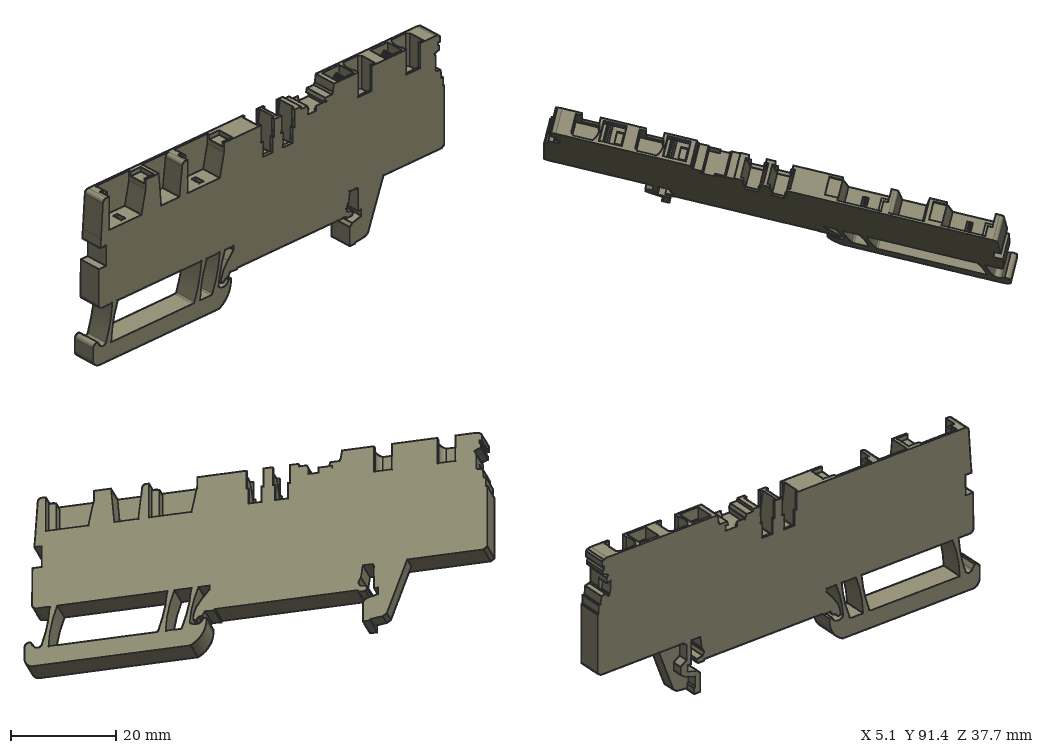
import cadquery as cq
import math

LENGTH = 91.4
HEIGHT = 37.7
THICKNESS = 5.1
HALF = THICKNESS / 2
SIDE_WALL = 0.5
INNER_LEFT = -HALF + SIDE_WALL
INNER_RIGHT = HALF - SIDE_WALL

BODY_BOTTOM = 12.3
RAIL_SEAT = 7.1
LOW_TOP = 36.0
MARKER_TOP = 34.65
MARKER_STEP = 35.5
FOOT_TOP = 3.8

SLOT_FLOOR = 28.9
SLOT_STEP = 32.2
SLOT_PITCH = 5.2
SLOT_SOCKET_FLOOR = 28.5
FIRST_SLOT = 50.7
SLOT_CENTRES = (FIRST_SLOT, FIRST_SLOT - SLOT_PITCH)
SLOT_WIDTH = 2.6
SLOT_UPPER_WIDTH = 3.4
SOCKET_MOUTH = 4.5
SOCKET_LEFT = INNER_LEFT
SOCKET_RIGHT = 1.8

POLES = 2
POLE_PITCH = 12.5
FUNNEL_START = 86.3
FUNNEL_LENGTH = 5.1
FUNNEL_DEPTH = 7.3
NOTCH_DEPTH = 5.5
FUNNEL_CORNER = 0.55
FUNNEL_TAPER = 0.8
WALL_NOTCH_INSET = 1.2
BUTTON_START = 80.8
BUTTON_LENGTH = 4.5
BUTTON_LEFT = -1.9
BUTTON_DEPTH = 2.6
STAIR_START = 0.7
STAIR_DEPTH = 1.5
STAIR_STEPS = 3
TREAD = 0.4
SPRING_WINDOW = (2.4, 1.4, 0.9)
SPRING_WINDOW_END = 0.3

BAY_PITCH = 20.4
BAY_DEPTH = 7.3
BAY_LENGTH = 9.5
BAY_START = 34.1
BAY_SLOPE = 1.1
BAY_SLOPE_TOP = 2.1
LIP_LENGTH = 1.5
LIP_RIGHT = 0.5
LEDGE_WIDTH = 0.55
LEDGE_DROP = 0.5
LABEL_LEFT = -1.6
LABEL_LENGTH = 2.6
LABEL_DEPTH = 1.0
DRIVER_SLOT = (2.2, 1.1, 0.9)
DRIVER_GROOVE = (0.4, 0.9)
DRIVER_SLOT_X = 0.3
DRIVER_SLOT_OFFSET = 4.8

GAP_START = 24.05
GAP_END = 17.1
RIDGE_ROUND = 0.8
RIDGE_SLOPE = 1.6
GAP_END_SLOPE = 0.6

MARKER_START = 60.8
MARKER_MIDDLE = 58.1
MARKER_END = 56.05
MARKER_FLOOR = 33.6
SNAP_WALL = 0.55

END_CORNER = (2.65, LOW_TOP)
BOTTOM_CORNER = (1.5, BODY_BOTTOM)
END_ROUND = 0.9
FOOT_END = 35.9
HOOK_LEG_ROOT = (31.0, FOOT_TOP)
MIDDLE_LEG_ROOT = (26.3, FOOT_TOP)
LEG_ROUND = 0.4
WEB_INSET = 2.2


def plate(outline, x_from=-HALF, x_to=HALF):
    """Solid from a side outline of (Y, Z) points between two X positions."""
    return cq.Workplane("YZ").workplane(offset=x_from).polyline(outline).close().extrude(x_to - x_from)


def round_edge(solid, corner, radius):
    """Fillet the edge that runs along X through a (Y, Z) corner."""
    return solid.edges(cq.selectors.NearestToPointSelector((0, *corner))).fillet(radius)


def block(x, y, z):
    """Box from (low, high) pairs along X, Y and Z."""
    size = [high - low for low, high in (x, y, z)]
    return cq.Workplane("XY").box(*size, centered=False).translate((x[0], y[0], z[0]))


def slot_outline(centre):
    """Stepped side outline of one bridge slot, from the nose side to the foot side."""
    lower = SLOT_WIDTH / 2
    upper = SLOT_UPPER_WIDTH / 2
    return [
        (centre + upper, LOW_TOP), (centre + upper, SLOT_STEP),
        (centre + lower, SLOT_STEP), (centre + lower, SLOT_FLOOR),
        (centre - lower, SLOT_FLOOR), (centre - lower, SLOT_STEP),
        (centre - upper, SLOT_STEP), (centre - upper, LOW_TOP),
    ]


def housing():
    nose = [
        (90.7, BODY_BOTTOM), (LENGTH, 12.9), (LENGTH, 25.9), (91.2, 26.0), (91.2, 27.8),
        (90.7, 27.8), (90.5, 29.6), (89.5, 29.8), (89.2, 30.1), (89.2, 33.2), (88.9, 33.7),
        (89.5, 34.1), (90.15, 34.3), (90.15, 34.9), (89.9, 35.5), (89.9, 35.9), (90.3, 35.9),
        (90.3, 37.1), (90.0, 37.5), (89.1, HEIGHT),
    ]
    marker_seat = [
        (62.7, HEIGHT), (62.45, 35.9), (62.2, MARKER_STEP), (60.4, MARKER_STEP), (60.2, MARKER_TOP),
        (56.1, MARKER_TOP), (55.8, MARKER_STEP), (54.2, MARKER_STEP), (54.1, LOW_TOP),
    ]
    slots = [point for centre in SLOT_CENTRES for point in slot_outline(centre)]
    end = [
        END_CORNER, (2.1, 27.7), (1.9, 25.6), (3.4, 25.6), (3.4, 21.1),
        (1.6, 21.1), BOTTOM_CORNER,
    ]
    rail_hook = [
        (36.6, BODY_BOTTOM), (36.6, 11.5), (35.1, 9.8), (33.9, 8.05), (33.4, 6.4), (33.4, 5.4),
        (33.9, 5.3), (34.5, 5.9), (35.1, 6.0), (35.7, 6.95), (37.5, 6.9), (37.7, RAIL_SEAT),
    ]
    rail_stop = [
        (65.8, RAIL_SEAT), (65.9, 6.8), (67.4, 6.8), (67.7, 7.2), (67.7, 7.8), (66.3, 8.05),
        (65.9, 8.8), (66.5, 9.8), (66.8, BODY_BOTTOM),
    ]
    solid = plate(nose + marker_seat + slots + end + rail_hook + rail_stop)
    return round_edge(round_edge(solid, END_CORNER, END_ROUND), BOTTOM_CORNER, END_ROUND)


def bridge_sockets(body):
    """Tapered mouth and deeper socket inside each bridge slot."""
    for centre in SLOT_CENTRES:
        mouth = SOCKET_MOUTH / 2
        throat = SLOT_WIDTH / 2
        outline = [
            (centre + mouth, LOW_TOP), (centre + throat, SLOT_FLOOR), (centre + throat, SLOT_SOCKET_FLOOR),
            (centre - throat, SLOT_SOCKET_FLOOR), (centre - throat, SLOT_FLOOR), (centre - mouth, LOW_TOP),
        ]
        body = body.cut(plate(outline, SOCKET_LEFT, SOCKET_RIGHT))
    return body


def conductor_funnel(start):
    """Wire opening with two clipped corners and a rounded end, open in part to the far side."""
    end = start - FUNNEL_LENGTH
    shoulder = end + FUNNEL_TAPER
    floor = HEIGHT - FUNNEL_DEPTH
    opening = (
        cq.Workplane("XY").workplane(offset=floor)
        .moveTo(INNER_LEFT, shoulder)
        .lineTo(INNER_LEFT, start - FUNNEL_CORNER)
        .lineTo(INNER_LEFT + FUNNEL_CORNER, start)
        .lineTo(INNER_RIGHT, start)
        .lineTo(INNER_RIGHT, shoulder)
        .threePointArc((0, end), (INNER_LEFT, shoulder))
        .close()
        .extrude(FUNNEL_DEPTH)
    )
    notch = block((0, HALF), (shoulder - SIDE_WALL, start - WALL_NOTCH_INSET), (HEIGHT - NOTCH_DEPTH, HEIGHT))
    return opening.union(notch)


def button_opening(start):
    """Rectangular push-button opening with a stair across it and a small window in its floor."""
    x_range = (BUTTON_LEFT, INNER_RIGHT)
    end = start - BUTTON_LENGTH
    floor = HEIGHT - BUTTON_DEPTH
    opening = block(x_range, (end, start), (floor, HEIGHT))
    riser = (BUTTON_DEPTH - STAIR_DEPTH) / STAIR_STEPS
    for step in range(STAIR_STEPS):
        tread_start = start - STAIR_START - step * TREAD
        tread_top = HEIGHT - STAIR_DEPTH - step * riser
        opening = opening.cut(block(x_range, (tread_start - TREAD, tread_start), (floor, tread_top)))
    width, length, depth = SPRING_WINDOW
    window_end = end + SPRING_WINDOW_END
    window = block((-width / 2, width / 2), (window_end, window_end + length), (floor - depth, floor))
    return opening.union(window)


def screwdriver_slot(centre, floor):
    """Slot in the bay floor with a narrower, deeper slot along its middle."""
    width, length, depth = DRIVER_SLOT
    x_range = (DRIVER_SLOT_X - width / 2, DRIVER_SLOT_X + width / 2)
    upper = block(x_range, (centre - length / 2, centre + length / 2), (floor - depth, floor))
    groove, groove_depth = DRIVER_GROOVE
    lower = block(x_range, (centre - groove / 2, centre + groove / 2), (floor - depth - groove_depth, floor))
    return upper.union(lower)


def clamp_bay(start):
    """Clamp bay open to the far side: sloped entry, floor, and an L-shaped lip at its foot end."""
    floor = LOW_TOP - BAY_DEPTH
    end = start - BAY_LENGTH
    outline = [
        (start, LOW_TOP), (start, LOW_TOP - BAY_SLOPE_TOP), (start - BAY_SLOPE, floor),
        (end, floor), (end, LOW_TOP),
    ]
    bay = plate(outline, INNER_LEFT, HALF)
    lip_start = end + LIP_LENGTH
    lip = block((INNER_LEFT, LIP_RIGHT), (end, lip_start), (floor, LOW_TOP))
    ledge_outer = block((INNER_LEFT, LIP_RIGHT), (end, lip_start), (LOW_TOP - LEDGE_DROP, LOW_TOP))
    ledge_inner = block(
        (INNER_LEFT, LIP_RIGHT - LEDGE_WIDTH), (end, lip_start - LEDGE_WIDTH), (LOW_TOP - LEDGE_DROP, LOW_TOP)
    )
    driver_slot = screwdriver_slot(start - DRIVER_SLOT_OFFSET, floor)
    label = block((LABEL_LEFT, INNER_RIGHT), (start, start + LABEL_LENGTH), (LOW_TOP - LABEL_DEPTH, LOW_TOP))
    return bay.cut(lip).union(ledge_outer.cut(ledge_inner)).union(driver_slot).union(label)


def middle_gap():
    """Gap between the bays, with a rounded, sloping ridge wall and a bevelled far wall."""
    floor = LOW_TOP - BAY_DEPTH
    round_end = GAP_START - RIDGE_ROUND
    blend = RIDGE_ROUND * (1 - math.sqrt(0.5))
    return (
        cq.Workplane("YZ").workplane(offset=INNER_LEFT)
        .moveTo(GAP_START, LOW_TOP)
        .threePointArc((round_end + blend, LOW_TOP - blend), (round_end, LOW_TOP - RIDGE_ROUND))
        .lineTo(GAP_START - RIDGE_SLOPE, floor)
        .lineTo(GAP_END + GAP_END_SLOPE, floor)
        .lineTo(GAP_END, LOW_TOP)
        .close()
        .extrude(HALF - INNER_LEFT)
    )


def marker_seat():
    """Sunken marker seat, undercut on opposite sides at its two ends, with sloped snap walls."""
    z_range = (MARKER_FLOOR, MARKER_TOP)
    seat = block((-HALF, HALF), (MARKER_END, MARKER_START), z_range)

    def snap(side, y_from, y_to):
        return (
            cq.Workplane("XZ", origin=(0, y_to, 0))
            .polyline([
                (side * HALF, MARKER_TOP), (side * HALF, MARKER_FLOOR),
                (side * (HALF - SNAP_WALL), MARKER_FLOOR),
            ])
            .close()
            .extrude(y_to - y_from)
        )

    return seat.cut(snap(1, MARKER_MIDDLE, MARKER_START)).cut(snap(-1, MARKER_END, MARKER_MIDDLE))


def nose_recess():
    """Small catch recess in the near side of the nose."""
    outline = [(89.2, 32.0), (88.2, 32.3), (88.2, 31.1), (88.5, 29.4), (88.9, 29.1), (89.3, 29.9)]
    return plate(outline, -HALF, 0)


def latch():
    """Rail latch: a full-width strip in front of a web that is set back from the near side."""
    strip_back = [
        (68.3, 0.3), (68.3, 1.6), (68.0, 1.9), (68.0, 4.0), (70.8, 5.0), (71.6, 5.7), (71.6, 7.4),
        (70.1, 8.4), (70.1, 11.7), (70.95, BODY_BOTTOM),
    ]
    strip_front = [
        (68.8, BODY_BOTTOM), (69.0, 11.9), (69.0, RAIL_SEAT), (69.85, RAIL_SEAT), (69.85, 5.8),
        (67.5, 5.1), (66.8, 4.5), (66.8, 0.3),
    ]
    web_edge = [(75.6, BODY_BOTTOM), (71.6, 1.4), (70.8, 0.8), (68.3, 0.55)]
    strip = plate(strip_back + strip_front)
    web = plate(web_edge + strip_back[1:], WEB_INSET - HALF, HALF)
    return strip.union(web)


def spring_leg(front, back):
    """Bowed leg between two edges, each given by its top, middle and bottom point."""
    return (
        cq.Workplane("YZ").workplane(offset=-HALF)
        .moveTo(*front[0])
        .threePointArc(front[1], front[2])
        .lineTo(*back[2])
        .threePointArc(back[1], back[0])
        .close()
        .extrude(THICKNESS)
    )


def release_foot():
    bar = (
        cq.Workplane("YZ").workplane(offset=-HALF)
        .moveTo(FOOT_END, 5.5)
        .lineTo(35.3, 5.5)
        .threePointArc((34.0, 4.4), (32.6, 5.0))
        .lineTo(*HOOK_LEG_ROOT)
        .lineTo(4.8, FOOT_TOP)
        .lineTo(3.4, 4.3)
        .threePointArc((2.6, FOOT_TOP), (1.8, 4.3))
        .lineTo(1.2, 5.2)
        .threePointArc((0.32, 4.9), (0, 4.3))
        .lineTo(0, 1.6)
        .threePointArc((0.5, 0.55), (1.65, 0))
        .lineTo(32.8, 0)
        .threePointArc((35.1, 2.1), (FOOT_END, 4.7))
        .close()
        .extrude(THICKNESS)
    )
    hook_leg = spring_leg(
        ((34.4, BODY_BOTTOM), (33.4, 9.3), (32.6, 5.0)),
        ((33.0, BODY_BOTTOM), (32.3, 7.9), HOOK_LEG_ROOT),
    )
    middle_leg = spring_leg(
        ((29.6, BODY_BOTTOM), (28.3, 7.9), (27.9, FOOT_TOP)),
        ((28.25, BODY_BOTTOM), (27.5, 7.9), MIDDLE_LEG_ROOT),
    )
    end_leg = spring_leg(
        ((6.5, BODY_BOTTOM), (5.2, 7.9), (4.8, FOOT_TOP)),
        ((5.0, BODY_BOTTOM), (4.4, 7.9), (3.4, 4.3)),
    )
    foot = bar.union(hook_leg).union(middle_leg).union(end_leg)
    for root in (HOOK_LEG_ROOT, MIDDLE_LEG_ROOT):
        foot = round_edge(foot, root, LEG_ROUND)
    return foot


body = bridge_sockets(housing())
for pole in range(POLES):
    body = body.cut(conductor_funnel(FUNNEL_START - pole * POLE_PITCH))
    body = body.cut(button_opening(BUTTON_START - pole * POLE_PITCH))
    body = body.cut(clamp_bay(BAY_START - pole * BAY_PITCH))
body = body.cut(middle_gap()).cut(marker_seat()).cut(nose_recess())

result = body.union(latch()).union(release_foot())